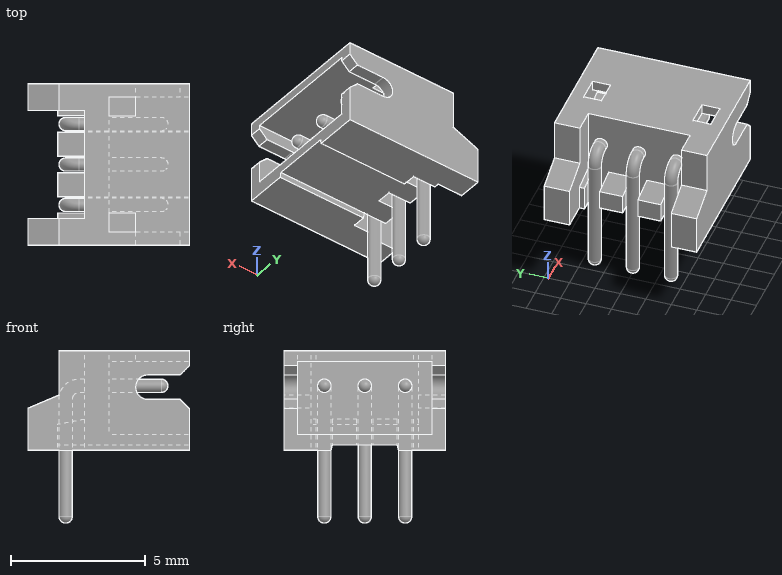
import cadquery as cq
import math

length = 6.0
width = 6.0
height = 3.7
side_wall = 0.5

foot_step_x = 1.15
foot_front_z = 1.57
foot_step_z = 2.06

recess_x = 2.1
recess_width = 4.0
tooth_front_x = 1.1
tooth_front_z = 0.97
tooth_back_z = 1.16
comb_gap = 0.6

channel_depth = 0.2
channel_top_width = 2.4
channel_bottom_width = 2.5

cavity_back_x = 3.0
roof_thickness = 0.4
floor_thickness = 0.4
cavity_floor_z = channel_depth + floor_thickness
cavity_roof_z = height - roof_thickness
cavity_width = width - 2 * side_wall

notch_back_x = 4.0
notch_bottom_z = 1.9
notch_width = 0.9
notch_lead_in = 0.35

window_length = 1.0
window_width = 0.7

pin_count = 3
pin_pitch = 1.5
pin_diameter = 0.5
pin_radius = pin_diameter / 2
pin_leg_x = 1.4
pin_axis_z = 2.4
pin_bend_radius = 0.5
pin_tip_x = 5.2
pin_bottom_z = -2.7

pin_positions = [(i - (pin_count - 1) / 2) * pin_pitch for i in range(pin_count)]


def box(x_range, y_center, y_size, z_range):
    """Axis-aligned block from X and Z limits and a Y center and size."""
    x_size = x_range[1] - x_range[0]
    z_size = z_range[1] - z_range[0]
    block = cq.Workplane("XY").box(x_size, y_size, z_size, centered=(False, True, False))
    return block.translate((x_range[0], y_center, z_range[0]))


def across_width(profile, y_size):
    """Extrude a closed XZ profile symmetrically about Y = 0."""
    return profile.extrude(y_size / 2, both=True)


def make_body():
    """Outer housing block with the stepped rear feet."""
    profile = cq.Workplane("XZ").polyline([
        (0, 0),
        (length, 0),
        (length, height),
        (foot_step_x, height),
        (foot_step_x, foot_step_z),
        (0, foot_front_z),
    ]).close()
    return across_width(profile, width)


def make_comb():
    """Sloped-top ledge in the recess, split into teeth by a gap around each pin."""
    profile = cq.Workplane("XZ").polyline([
        (tooth_front_x, 0),
        (recess_x, 0),
        (recess_x, tooth_back_z),
        (tooth_front_x, tooth_front_z),
    ]).close()
    comb = across_width(profile, recess_width)
    for y in pin_positions:
        comb = comb.cut(box((tooth_front_x, recess_x), y, comb_gap, (0, tooth_back_z)))
    return comb


def make_channel():
    """Tapered channel along the full length of the underside."""
    return cq.Workplane("YZ").polyline([
        (-channel_bottom_width / 2, 0),
        (channel_bottom_width / 2, 0),
        (channel_top_width / 2, channel_depth),
        (-channel_top_width / 2, channel_depth),
    ]).close().extrude(length)


def make_notch():
    """Round-ended side notch with a flared mouth, cut through the whole width."""
    radius = notch_width / 2
    arc_x = notch_back_x + radius
    flare_x = length - notch_lead_in
    top_z = notch_bottom_z + notch_width
    profile = (
        cq.Workplane("XZ")
        .moveTo(arc_x, notch_bottom_z)
        .lineTo(flare_x, notch_bottom_z)
        .lineTo(length, notch_bottom_z - notch_lead_in)
        .lineTo(length, top_z + notch_lead_in)
        .lineTo(flare_x, top_z)
        .lineTo(arc_x, top_z)
        .threePointArc((notch_back_x, notch_bottom_z + radius), (arc_x, notch_bottom_z))
        .close()
    )
    return across_width(profile, width)


def make_windows():
    """Pair of rectangular latch windows through the roof."""
    x_range = (cavity_back_x, cavity_back_x + window_length)
    y_center = (cavity_width - window_width) / 2
    z_range = (cavity_roof_z, height)
    near = box(x_range, -y_center, window_width, z_range)
    far = box(x_range, y_center, window_width, z_range)
    return near.union(far)


def make_pin(y):
    """Right-angle round pin with hemispherical ends."""
    leg_end_z = pin_bottom_z + pin_radius
    bend_start_z = pin_axis_z - pin_bend_radius
    bend_end_x = pin_leg_x + pin_bend_radius
    tip_center_x = pin_tip_x - pin_radius
    bend_mid_offset = pin_bend_radius * math.sqrt(0.5)
    bend_mid = (bend_end_x - bend_mid_offset, bend_start_z + bend_mid_offset)
    path = (
        cq.Workplane("XZ", origin=(0, y, 0))
        .moveTo(pin_leg_x, leg_end_z)
        .lineTo(pin_leg_x, bend_start_z)
        .threePointArc(bend_mid, (bend_end_x, pin_axis_z))
        .lineTo(tip_center_x, pin_axis_z)
    )
    section = cq.Workplane("XY", origin=(pin_leg_x, y, leg_end_z)).circle(pin_radius)
    pin = section.sweep(path)
    for x, z in ((pin_leg_x, leg_end_z), (tip_center_x, pin_axis_z)):
        pin = pin.union(cq.Workplane("XY").sphere(pin_radius).translate((x, y, z)))
    return pin


housing = make_body().cut(box((0, recess_x), 0, recess_width, (0, height)))
housing = housing.union(make_comb())
housing = housing.cut(make_channel())
housing = housing.cut(box((cavity_back_x, length), 0, cavity_width, (cavity_floor_z, cavity_roof_z)))
housing = housing.cut(make_notch())
housing = housing.cut(make_windows())

result = housing
for pin_y in pin_positions:
    result = result.union(make_pin(pin_y))